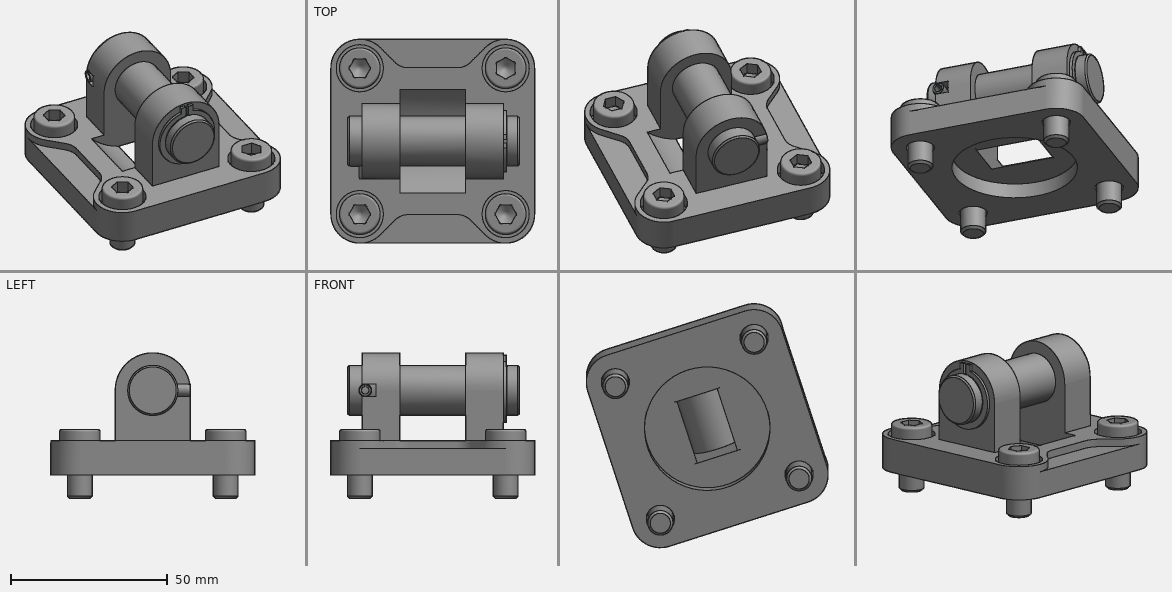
import cadquery as cq
import math

overall_height = 46.5

plate_side = 65.0
plate_thickness = 11.0
bolt_spacing = 46.5
bolt_offset = bolt_spacing / 2
corner_radius = plate_side / 2 - bolt_offset
spigot_diameter = 40.0
spigot_depth = 5.0

step_depth = 2.5
step_inner_y = 23.4
step_fillet = 6.0

shank_diameter = 8.0
shank_projection = 7.5
shank_chamfer = 0.8
head_diameter = 13.0
head_height = 8.0
head_projection = 3.6
head_fillet = 0.8
clearance_diameter = 9.0
counterbore_diameter = 15.0
hex_across_flats = 6.0
hex_depth = 4.0
turned_hex_angle = 30.0
drill_half_angle = 60.0

lug_outer_x = 22.5
lug_gap = 21.0
lug_diameter = 24.0
swing_radius = 23.0

pin_diameter = 16.0
pin_left = -27.1
pin_right = 27.55
pin_chamfer = 0.5

ring_thickness = 1.0
ring_radius = 9.8
ring_drop = 0.4
ear_top = 11.25
ear_width = 4.3
ear_gap = 1.05
groove_width = 1.2
groove_depth = 0.4

lock_diameter = 4.0
lock_x = -21.5
lock_bore = 2.4
lock_lead_length = 0.8
lock_lead_depth = 0.2
lock_slit = 0.5
slot_length = 4.35

plate_bottom = shank_projection
plate_top = plate_bottom + plate_thickness
head_top = plate_top + head_projection
head_seat = head_top - head_height
lug_radius = lug_diameter / 2
pin_z = overall_height - lug_radius
pin_radius = pin_diameter / 2
lug_width = lug_outer_x - lug_gap / 2


def cylinder_z(x, y, bottom, top, diameter):
    return cq.Workplane("XY", origin=(x, y, bottom)).circle(diameter / 2).extrude(top - bottom)


def cylinder_on_pin_axis(left, right, radius):
    return cq.Workplane("YZ", origin=(left, 0, pin_z)).circle(radius).extrude(right - left)


def edge_step():
    """Cutter for the +Y edge: it follows the two corner bosses, joined by 45 degree flanks."""
    diagonal = corner_radius * math.sqrt(0.5)
    tangent_x = bolt_offset - diagonal
    tangent_y = bolt_offset + diagonal
    flank_foot_x = tangent_x - (tangent_y - step_inner_y)
    half_arc = math.radians(45 / 2)
    arc_mid_x = bolt_offset - corner_radius * math.sin(half_arc)
    arc_mid_y = bolt_offset + corner_radius * math.cos(half_arc)
    edge_y = plate_side / 2
    cutter = (
        cq.Workplane("XY", origin=(0, 0, plate_top - step_depth))
        .moveTo(-bolt_offset, edge_y)
        .threePointArc((-arc_mid_x, arc_mid_y), (-tangent_x, tangent_y))
        .lineTo(-flank_foot_x, step_inner_y)
        .lineTo(flank_foot_x, step_inner_y)
        .lineTo(tangent_x, tangent_y)
        .threePointArc((arc_mid_x, arc_mid_y), (bolt_offset, edge_y))
        .close()
        .extrude(step_depth)
    )
    return cutter.edges("|Z").edges("<Y").fillet(step_fillet)


def base_plate():
    plate = (
        cq.Workplane("XY", origin=(0, 0, plate_bottom))
        .rect(plate_side, plate_side)
        .extrude(plate_thickness)
        .edges("|Z")
        .fillet(corner_radius)
    )
    step = edge_step()
    plate = plate.cut(step).cut(step.mirror("XZ"))
    return plate.cut(cylinder_z(0, 0, plate_bottom, plate_bottom + spigot_depth, spigot_diameter))


def lug(left):
    return (
        cq.Workplane("YZ", origin=(left, 0, 0))
        .moveTo(-lug_radius, plate_top)
        .lineTo(-lug_radius, pin_z)
        .threePointArc((0, overall_height), (lug_radius, pin_z))
        .lineTo(lug_radius, plate_top)
        .close()
        .extrude(lug_width)
    )


def lock_slot():
    corner = (-lug_outer_x, -lug_radius, pin_z)
    slot = cq.Workplane("XY").box(slot_length, lug_radius, lock_diameter, centered=(False, False, True))
    return slot.translate(corner)


def socket_screw(x, y, hex_turn):
    shank = cylinder_z(x, y, 0, head_seat, shank_diameter).faces("<Z").chamfer(shank_chamfer)
    head = cylinder_z(x, y, head_seat, head_top, head_diameter).faces(">Z").edges().fillet(head_fillet)
    corner_diameter = hex_across_flats / math.cos(math.radians(30))
    cone_depth = corner_diameter / 2 / math.tan(math.radians(drill_half_angle))
    socket = (
        cq.Workplane("XY")
        .polygon(6, corner_diameter)
        .extrude(-hex_depth)
        .rotate((0, 0, 0), (0, 0, 1), hex_turn)
    )
    hex_floor = cq.Vector(0, 0, -hex_depth)
    downward = cq.Vector(0, 0, -1)
    cone = cq.Solid.makeCone(corner_diameter / 2, 0, cone_depth, pnt=hex_floor, dir=downward)
    socket = socket.union(cq.Workplane(cone)).translate((x, y, head_top))
    return shank.union(head).cut(socket)


def pivot_pin():
    pin = cylinder_on_pin_axis(pin_left, pin_right, pin_radius).faces("<X or >X").chamfer(pin_chamfer)
    groove_end = lug_outer_x + groove_width
    groove = cylinder_on_pin_axis(lug_outer_x, groove_end, pin_radius).cut(
        cylinder_on_pin_axis(lug_outer_x, groove_end, pin_radius - groove_depth)
    )
    return pin.cut(groove)


def retaining_ring():
    """Circlip with its open end upward, thickest at the bottom, ending in two ears."""
    face = cq.Workplane("YZ", origin=(lug_outer_x, 0, pin_z))
    body = face.center(0, -ring_drop).circle(ring_radius).extrude(ring_thickness)
    ears = face.center(0, ear_top / 2).rect(ear_width, ear_top).extrude(ring_thickness)
    gap = face.center(0, ear_top / 2).rect(ear_gap, ear_top).extrude(ring_thickness)
    seat = cylinder_on_pin_axis(lug_outer_x, lug_outer_x + ring_thickness, pin_radius - groove_depth)
    return body.union(ears).cut(gap).cut(seat)


def lock_pin():
    """Tube along Y, slit along its top and flush with the lug; its bore stops at the pivot pin."""
    outer_end = cq.Workplane("XZ", origin=(lock_x, -lug_radius, pin_z))
    tube = (
        outer_end.circle(lock_diameter / 2)
        .extrude(-lug_radius)
        .faces("<Y")
        .chamfer(lock_lead_length, lock_lead_depth)
    )
    bore = outer_end.circle(lock_bore / 2).extrude(-lug_radius)
    slit = outer_end.center(0, lock_diameter / 4).rect(lock_slit, lock_diameter / 2).extrude(-lug_radius)
    return tube.cut(bore).cut(slit)


body = base_plate().union(lug(-lug_outer_x)).union(lug(lug_gap / 2))
body = body.cut(lock_slot())

body = body.cut(cylinder_on_pin_axis(-lug_gap / 2, lug_gap / 2, swing_radius))

result = body.union(pivot_pin()).union(retaining_ring()).union(lock_pin())

for x in (-bolt_offset, bolt_offset):
    for y in (-bolt_offset, bolt_offset):
        result = result.cut(cylinder_z(x, y, plate_bottom, head_seat, clearance_diameter))
        result = result.cut(cylinder_z(x, y, head_seat, plate_top, counterbore_diameter))
        hex_turn = turned_hex_angle if x > 0 and y > 0 else 0
        result = result.union(socket_screw(x, y, hex_turn))